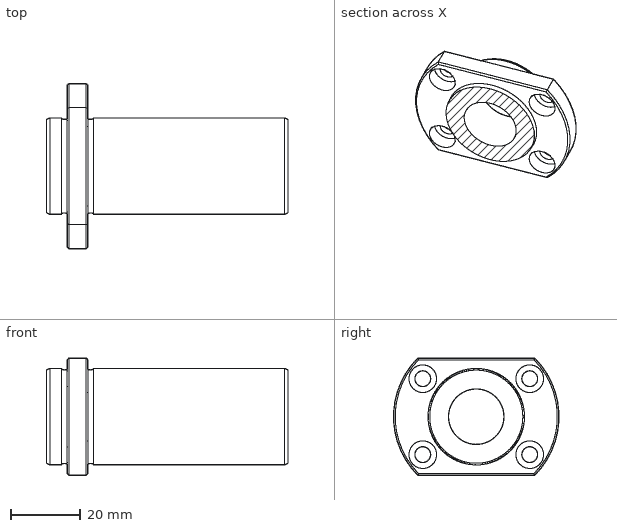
import cadquery as cq


LENGTH = 70.0
SLEEVE_DIAMETER = 28.0
BORE_DIAMETER = 16.0
END_ROUND_LENGTH = 1.0
END_ROUND_DEPTH = 0.5
END_ROUND_RADIUS = 3.0

FLANGE_START = 6.0
FLANGE_THICKNESS = 6.0
FLANGE_DIAMETER = 48.0
FLANGE_HEIGHT = 34.0
FLANGE_CHAMFER = 0.5

GROOVE_WIDTH = 1.6
GROOVE_SHOULDER = 0.2
GROOVE_DEPTH = 0.4

HOLE_DIAMETER = 4.5
HOLE_SPACING_Y = 31.0
HOLE_SPACING_Z = 22.0
COUNTERBORE_DIAMETER = 8.0
COUNTERBORE_DEPTH = 4.1

SLEEVE_RADIUS = SLEEVE_DIAMETER / 2
FLANGE_END = FLANGE_START + FLANGE_THICKNESS


def x_cylinder(diameter, start, length):
    """Solid cylinder around the X axis."""
    return cq.Workplane("YZ").workplane(offset=start).circle(diameter / 2).extrude(length)


def make_sleeve():
    """Revolved sleeve with rounded ends and two hollow grooves, still without its bore."""
    end_radius = SLEEVE_RADIUS - END_ROUND_DEPTH
    half_groove = GROOVE_WIDTH / 2
    front_groove_start = FLANGE_START - GROOVE_WIDTH
    rear_groove_end = FLANGE_END + GROOVE_WIDTH
    shoulder_radius = SLEEVE_RADIUS - GROOVE_SHOULDER
    floor_radius = SLEEVE_RADIUS - GROOVE_DEPTH

    profile = (
        cq.Workplane("XY")
        .moveTo(0, 0)
        .lineTo(0, end_radius)
        .radiusArc((END_ROUND_LENGTH, SLEEVE_RADIUS), END_ROUND_RADIUS)
        .lineTo(front_groove_start, SLEEVE_RADIUS)
        .lineTo(front_groove_start, shoulder_radius)
        .threePointArc(
            (FLANGE_START - half_groove, floor_radius),
            (FLANGE_START, shoulder_radius),
        )
        .lineTo(FLANGE_END, shoulder_radius)
        .threePointArc(
            (FLANGE_END + half_groove, floor_radius),
            (rear_groove_end, shoulder_radius),
        )
        .lineTo(rear_groove_end, SLEEVE_RADIUS)
        .lineTo(LENGTH - END_ROUND_LENGTH, SLEEVE_RADIUS)
        .radiusArc((LENGTH, end_radius), END_ROUND_RADIUS)
        .lineTo(LENGTH, 0)
        .close()
    )
    return profile.revolve(360, (0, 0, 0), (1, 0, 0))


def make_flange():
    """Disc with two flats, chamfered around both faces."""
    disc = x_cylinder(FLANGE_DIAMETER, FLANGE_START, FLANGE_THICKNESS)
    between_flats = cq.Workplane("XY").box(LENGTH, FLANGE_DIAMETER, FLANGE_HEIGHT)
    return disc.intersect(between_flats).faces("<X or >X").edges().chamfer(FLANGE_CHAMFER)


def drill_mounting_holes(flange_plate):
    """Four holes through the flange, counterbored from its rear face."""
    return (
        flange_plate.faces(">X")
        .workplane(origin=(FLANGE_END, 0, 0))
        .rect(HOLE_SPACING_Y, HOLE_SPACING_Z, forConstruction=True)
        .vertices()
        .cboreHole(HOLE_DIAMETER, COUNTERBORE_DIAMETER, COUNTERBORE_DEPTH)
    )


flange = drill_mounting_holes(make_flange())
bore = x_cylinder(BORE_DIAMETER, 0, LENGTH)

result = make_sleeve().union(flange).cut(bore)